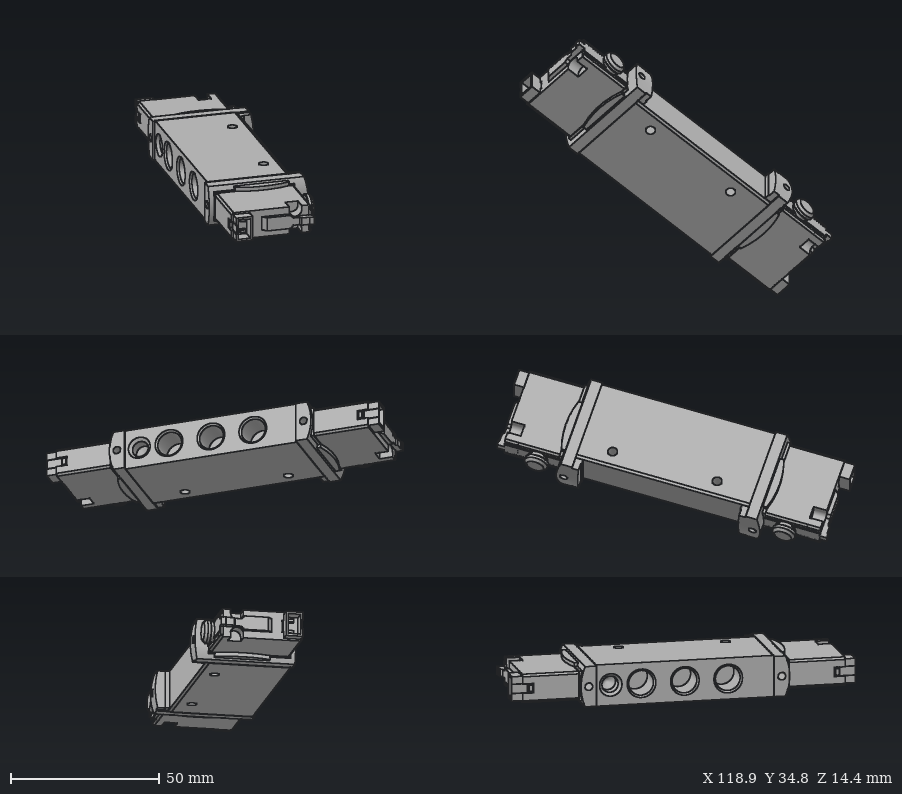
import cadquery as cq
import math

OVERALL_LENGTH = 118.9

BODY_HALF_LENGTH = 30.7
BODY_HALF_HEIGHT = 7.2
BODY_FRONT = 0.8
BODY_BACK = 29.8
BODY_CHAMFER_RUN = 1.0
BODY_CHAMFER_DROP = 0.5

PORT_PITCH = 15.0
PORT_COUNT = 3
PORT_DIAMETER = 8.57
PORT_RIM_DIAMETER = 9.9
PORT_DEPTH = 10.0
PILOT_PORT_X = -25.65
PILOT_PORT_DIAMETER = 5.6
PILOT_PORT_RIM_DIAMETER = 7.8
PILOT_PORT_DEPTH = 5.0
DRILL_POINT_ANGLE = 118.0

MOUNT_HOLE_DIAMETER = 3.2
MOUNT_HOLES_X = (-17.55, 19.45)
MOUNT_HOLE_Y = 24.1

CAP_DEPTH = 34.8
CAP_HALF_HEIGHT = 7.0
CAP_BACK_SAG = 0.95
CAP_OUTER_SAG = 1.4
CAP_OUTER_X = -36.1
CAP_BOLT_DIAMETER = 2.6
CAP_BOLT_X = -33.4

TAB_INNER_X = -28.4
TAB_FOOT_X = -28.1
TAB_FOOT_TOP = 31.4
TAB_HALF_HEIGHT = 6.5

BULGE_HALF_HEIGHT = 6.3
BULGE_FRONT = 9.0
BULGE_BACK = 28.0
BULGE_SIDE_X = -36.35
BULGE_CREST_X = -37.85

COIL_FRONT = 1.95
COIL_BACK = 30.05
COIL_HALF_HEIGHT = 4.9
COIL_CHAMFER = 0.75
COIL_INNER_X = -36.4
FLANGE_HALF_HEIGHT = 5.15
FLANGE_FRONT = 1.8
HEAD_INNER_X = -51.15
HEAD_OUTER_X = -55.8

CHANNEL_FRONT = 22.3
CHANNEL_BACK = 26.7
CHANNEL_FLOOR = 1.3
BACK_GROOVE_HALF_WIDTH = 4.1
BACK_GROOVE_FLOOR = 29.2
STRIP_BACK = 30.45
STRIP_HALF_WIDTH = 2.8

PLUG_OUTER_X = -OVERALL_LENGTH / 2
PLUG_FRONT = 2.5
PLUG_BACK = 8.4
PLUG_HALF_HEIGHT = 4.25
PLUG_WALL = 0.8
PLUG_FLOOR_DEPTH = 1.0
PLUG_FLOOR_X = HEAD_OUTER_X + PLUG_FLOOR_DEPTH
PIN_LENGTH = 1.5
PIN_FRONT = 5.0
PIN_BACK = 7.0
PIN_THICKNESS = 0.9
PIN_Z = 1.95
LATCH_HALF_WIDTH = 1.6
LATCH_GROOVE_DEPTH = 0.3
LATCH_WINDOW_OUTER_X = -54.1
LATCH_WINDOW_INNER_X = -52.0
LATCH_WINDOW_DEPTH = 1.0
LATCH_FRAME = 0.45
LATCH_RECESS_BACK = 9.0
LATCH_RECESS_HALF_WIDTH = 2.0
LATCH_RECESS_DEPTH = 1.0

SLIDER_FRONT = 12.6
SLIDER_SLOPE_END = 14.1
SLIDER_X = -57.3
SLIDER_GRIP_X = -58.0
SLIDER_TIP_X = -58.35
SLIDER_HALF_WIDTH = 2.35
SLIDER_NECK_HALF_WIDTH = 1.3
SLIDER_GRIP_FRONT = 25.5
SLIDER_GRIP_FULL = 26.0
SLIDER_TIP_FRONT = 28.8

BUTTON_X = -43.85
BUTTON_NECK_DIAMETER = 7.0
BUTTON_HEAD_DIAMETER = 8.1
BUTTON_HEAD_BASE = 31.6
BUTTON_TOP = 33.75
BUTTON_CHAMFER = 1.0


def block(x_min, x_max, y_min, y_max, z_min, z_max):
    """Box between the given limits."""
    size = (x_max - x_min, y_max - y_min, z_max - z_min)
    return cq.Workplane("XY").box(*size, centered=False).translate((x_min, y_min, z_min))


def slab(x_min, x_max, y_min, y_max, half_height):
    """Box that is symmetric about the mid-plane."""
    return block(x_min, x_max, y_min, y_max, -half_height, half_height)


def rod_along_y(x, y_start, y_end, diameter):
    """Cylinder parallel to Y."""
    plane = cq.Workplane("XZ", origin=(x, y_start, 0))
    return plane.circle(diameter / 2).extrude(y_start - y_end)


def port_cutter(x, diameter, rim_diameter, depth, point_angle=None):
    """Countersunk bore in the port face, with a flat floor or a drill point."""
    bore = diameter / 2
    rim = rim_diameter / 2
    rim_floor = BODY_FRONT + rim - bore
    floor = BODY_FRONT + depth
    tip = floor
    if point_angle:
        tip += bore / math.tan(math.radians(point_angle / 2))
    outline = cq.Workplane("XY").moveTo(0, BODY_FRONT).lineTo(rim, BODY_FRONT)
    outline = outline.lineTo(bore, rim_floor).lineTo(bore, floor).lineTo(0, tip).close()
    return outline.revolve(360, (0, 0, 0), (0, 1, 0)).translate((x, 0, 0))


def make_body():
    half = BODY_HALF_HEIGHT
    chamfer_start = BODY_BACK - BODY_CHAMFER_RUN
    profile = [
        (BODY_FRONT, -half),
        (chamfer_start, -half),
        (BODY_BACK, BODY_CHAMFER_DROP - half),
        (BODY_BACK, half - BODY_CHAMFER_DROP),
        (chamfer_start, half),
        (BODY_FRONT, half),
    ]
    body = cq.Workplane("YZ").polyline(profile).close().extrude(BODY_HALF_LENGTH, both=True)
    for index in range(PORT_COUNT):
        x = (index - (PORT_COUNT - 1) / 2) * PORT_PITCH
        body = body.cut(port_cutter(x, PORT_DIAMETER, PORT_RIM_DIAMETER, PORT_DEPTH))
    body = body.cut(
        port_cutter(
            PILOT_PORT_X, PILOT_PORT_DIAMETER, PILOT_PORT_RIM_DIAMETER, PILOT_PORT_DEPTH, DRILL_POINT_ANGLE
        )
    )
    holes = cq.Workplane("XY").pushPoints([(x, MOUNT_HOLE_Y) for x in MOUNT_HOLES_X])
    return body.cut(holes.circle(MOUNT_HOLE_DIAMETER / 2).extrude(BODY_HALF_HEIGHT, both=True))


def make_cap():
    """End cap with arched outer and back faces, a tab over the body and a bulge over the coil."""
    half = CAP_HALF_HEIGHT
    inner_x = -BODY_HALF_LENGTH
    corner_x = CAP_OUTER_X + CAP_OUTER_SAG
    corner_y = CAP_DEPTH - CAP_BACK_SAG

    arched_end = cq.Workplane("XZ").moveTo(TAB_FOOT_X, -half).lineTo(corner_x, -half)
    arched_end = arched_end.threePointArc((CAP_OUTER_X, 0), (corner_x, half)).lineTo(TAB_FOOT_X, half)
    arched_end = arched_end.close().extrude(-CAP_DEPTH)

    plate = slab(CAP_OUTER_X, inner_x, 0, CAP_DEPTH, half)
    tab = slab(inner_x, TAB_INNER_X, BODY_BACK, CAP_DEPTH, TAB_HALF_HEIGHT)
    foot = slab(inner_x, TAB_FOOT_X, BODY_BACK, TAB_FOOT_TOP, TAB_HALF_HEIGHT)

    arched_back = cq.Workplane("YZ").moveTo(0, -half).lineTo(corner_y, -half)
    arched_back = arched_back.threePointArc((CAP_DEPTH, 0), (corner_y, half)).lineTo(0, half).close()
    arched_back = arched_back.extrude(CAP_OUTER_X)
    cap = plate.union(tab).union(foot).intersect(arched_end).intersect(arched_back)

    bulge_middle = (BULGE_FRONT + BULGE_BACK) / 2
    bulge = cq.Workplane("XY").moveTo(corner_x, BULGE_FRONT).lineTo(BULGE_SIDE_X, BULGE_FRONT)
    bulge = bulge.threePointArc((BULGE_CREST_X, bulge_middle), (BULGE_SIDE_X, BULGE_BACK))
    bulge = bulge.lineTo(corner_x, BULGE_BACK).close().extrude(BULGE_HALF_HEIGHT, both=True)
    return cap.union(bulge).cut(rod_along_y(CAP_BOLT_X, 0, CAP_DEPTH, CAP_BOLT_DIAMETER))


def make_channel_cutter():
    """Round-bottomed channel along X in the top of the head."""
    radius = (CHANNEL_BACK - CHANNEL_FRONT) / 2
    centre_y = CHANNEL_FRONT + radius
    centre_z = CHANNEL_FLOOR + radius
    plane = cq.Workplane("YZ", origin=(HEAD_OUTER_X, 0, 0)).center(centre_y, centre_z)
    round_floor = plane.circle(radius).extrude(HEAD_INNER_X - HEAD_OUTER_X)
    walls = block(HEAD_OUTER_X, HEAD_INNER_X, CHANNEL_FRONT, CHANNEL_BACK, centre_z, COIL_HALF_HEIGHT)
    return round_floor.union(walls)


def make_coil():
    """Coil and head as one long block, with the flange to the cap and the strip on the back."""
    coil = slab(HEAD_OUTER_X, COIL_INNER_X, COIL_FRONT, COIL_BACK, COIL_HALF_HEIGHT)
    coil = coil.edges("|X").chamfer(COIL_CHAMFER)
    channel = make_channel_cutter()
    coil = coil.cut(channel).cut(channel.mirror("XY"))
    coil = coil.cut(slab(HEAD_OUTER_X, HEAD_INNER_X, BACK_GROOVE_FLOOR, COIL_BACK, BACK_GROOVE_HALF_WIDTH))
    inner_x = CAP_OUTER_X + CAP_OUTER_SAG
    flange = slab(COIL_INNER_X, inner_x, FLANGE_FRONT, COIL_BACK, FLANGE_HALF_HEIGHT)
    strip = slab(HEAD_OUTER_X, inner_x, COIL_BACK, STRIP_BACK, STRIP_HALF_WIDTH)
    return coil.union(flange).union(strip)


def add_plug(unit):
    """Plug socket with two contact pins, a latch groove and window in front and a recess behind."""
    unit = unit.union(slab(PLUG_OUTER_X, HEAD_OUTER_X, PLUG_FRONT, PLUG_BACK, PLUG_HALF_HEIGHT))
    inside_height = PLUG_HALF_HEIGHT - PLUG_WALL
    unit = unit.cut(
        slab(PLUG_OUTER_X, PLUG_FLOOR_X, PLUG_FRONT + PLUG_WALL, PLUG_BACK - PLUG_WALL, inside_height)
    )
    for side in (-1, 1):
        z_min = side * PIN_Z - PIN_THICKNESS / 2
        z_max = side * PIN_Z + PIN_THICKNESS / 2
        unit = unit.union(block(PLUG_FLOOR_X - PIN_LENGTH, PLUG_FLOOR_X, PIN_FRONT, PIN_BACK, z_min, z_max))

    groove_floor = PLUG_FRONT + LATCH_GROOVE_DEPTH
    unit = unit.cut(slab(PLUG_OUTER_X, LATCH_WINDOW_OUTER_X, COIL_FRONT, groove_floor, LATCH_HALF_WIDTH))
    window_floor = COIL_FRONT + LATCH_WINDOW_DEPTH
    window = slab(
        LATCH_WINDOW_OUTER_X, LATCH_WINDOW_INNER_X, COIL_FRONT, window_floor, LATCH_HALF_WIDTH
    )
    catch = slab(
        LATCH_WINDOW_OUTER_X + LATCH_FRAME,
        LATCH_WINDOW_INNER_X - LATCH_FRAME,
        COIL_FRONT,
        window_floor,
        LATCH_HALF_WIDTH - LATCH_FRAME,
    )
    unit = unit.cut(window.cut(catch))
    recess_floor = HEAD_OUTER_X + LATCH_RECESS_DEPTH
    return unit.cut(slab(HEAD_OUTER_X, recess_floor, PLUG_BACK, LATCH_RECESS_BACK, LATCH_RECESS_HALF_WIDTH))


def make_slider():
    """Wide thumb plate with a narrow neck that steps outwards to its tip."""
    side_profile = [
        (HEAD_OUTER_X, SLIDER_FRONT),
        (SLIDER_X, SLIDER_SLOPE_END),
        (SLIDER_X, SLIDER_GRIP_FRONT),
        (SLIDER_GRIP_X, SLIDER_GRIP_FULL),
        (SLIDER_GRIP_X, SLIDER_TIP_FRONT),
        (SLIDER_TIP_X, SLIDER_TIP_FRONT),
        (SLIDER_TIP_X, STRIP_BACK),
        (HEAD_OUTER_X, STRIP_BACK),
    ]
    side = cq.Workplane("XY").polyline(side_profile).close().extrude(SLIDER_HALF_WIDTH, both=True)
    taper_end = CHANNEL_FRONT + SLIDER_HALF_WIDTH - SLIDER_NECK_HALF_WIDTH
    half_outline = [
        (SLIDER_FRONT, SLIDER_HALF_WIDTH),
        (CHANNEL_FRONT, SLIDER_HALF_WIDTH),
        (taper_end, SLIDER_NECK_HALF_WIDTH),
        (STRIP_BACK, SLIDER_NECK_HALF_WIDTH),
    ]
    outline = half_outline + [(y, -z) for y, z in reversed(half_outline)]
    front = cq.Workplane("YZ").polyline(outline).close().extrude(SLIDER_TIP_X)
    return side.intersect(front)


def make_button():
    """Round button with a chamfered head that is wider than its neck."""
    neck = rod_along_y(BUTTON_X, COIL_BACK, BUTTON_HEAD_BASE, BUTTON_NECK_DIAMETER)
    head = rod_along_y(BUTTON_X, BUTTON_HEAD_BASE, BUTTON_TOP, BUTTON_HEAD_DIAMETER)
    return neck.union(head.faces(">Y").chamfer(BUTTON_CHAMFER))


def make_pilot_unit():
    unit = add_plug(make_cap().union(make_coil()))
    return unit.union(make_slider()).union(make_button())


body = make_body()
left_pilot = make_pilot_unit()
right_pilot = left_pilot.mirror("YZ")

result = cq.Compound.makeCompound([body.val(), left_pilot.val(), right_pilot.val()])